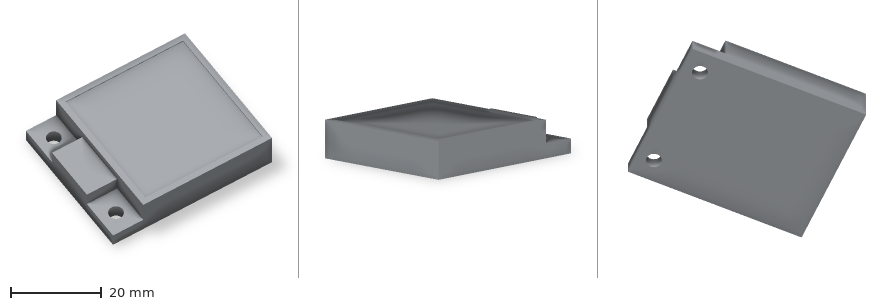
import cadquery as cq

width = 35.0
length = 42.0
height = 8.7

flange_depth = 8.0
flange_height = 3.3

tab_width = 14.0
tab_height = 6.7

hole_diameter = 3.5
hole_spacing = 25.0
hole_edge_distance = 4.07

rim_width = 1.5
recess_depth = 0.2

front_y = -length / 2
body_length = length - flange_depth
body_center_y = front_y + flange_depth + body_length / 2


def block(size_x, size_y, size_z, center_y, bottom_z=0):
    """Box centred on X, with its underside at bottom_z."""
    return (
        cq.Workplane("XY")
        .box(size_x, size_y, size_z, centered=(True, True, False))
        .translate((0, center_y, bottom_z))
    )


base = block(width, length, flange_height, 0)
body = block(width, body_length, height, body_center_y)
tab = block(tab_width, flange_depth, tab_height, front_y + flange_depth / 2)

recess = block(
    width - 2 * rim_width,
    body_length - 2 * rim_width,
    recess_depth,
    body_center_y,
    height - recess_depth,
)

hole_y = front_y + hole_edge_distance
holes = (
    cq.Workplane("XY")
    .pushPoints([(side * hole_spacing / 2, hole_y) for side in (-1, 1)])
    .circle(hole_diameter / 2)
    .extrude(flange_height)
)

result = base.union(body).union(tab).cut(recess).cut(holes)